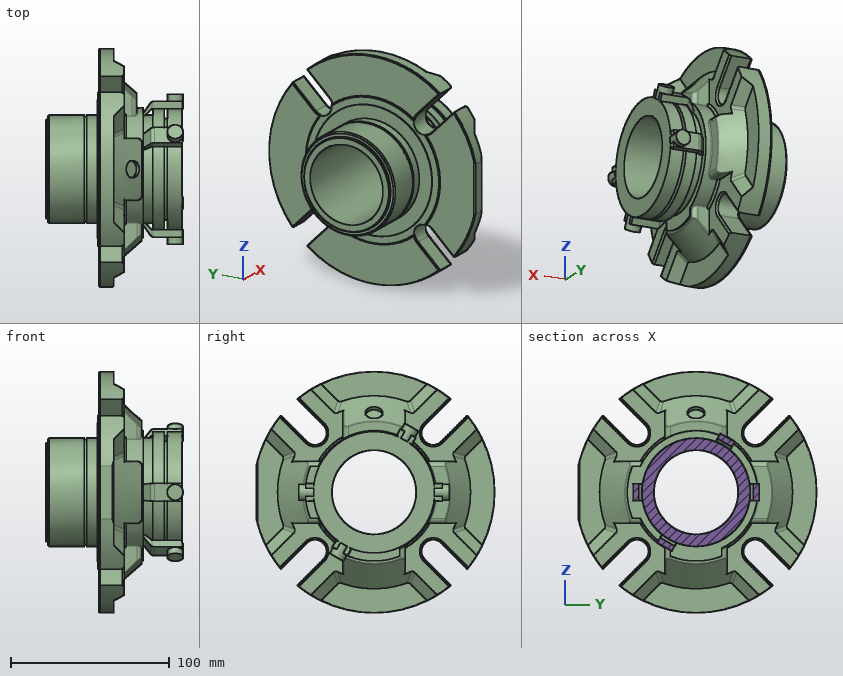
import cadquery as cq
import math


bore_dia = 53.0
nose_dia = 62.7
sleeve_dia = 68.5
groove_dia = 66.8
neck_dia = 64.2
ring_dia = 76.5

sleeve_start = 1.4
nose_chamfer = 0.6
sleeve_chamfer = 0.9
groove_start = 24.2
groove_width = 1.5
drive_ring_start = 67.4
drive_ring_end = 74.7
lock_ring_start = 76.7
sleeve_end = 86.0

flange_dia = 152.2
flange_front = 33.3
flange_back = 42.9
rim_chamfer_length = 1.0
rim_chamfer_depth = 0.5
flat_y = -74.2
flat_chamfer_depth = 0.9

raised_face_dia = 98.0
raised_face_inner_dia = 96.5
raised_face_front = 32.9
gasket_dia = 86.7
gasket_front = 32.4

hub_dia = 77.6
hub_end = 61.3
hub_root_fillet = 1.4
cone_base_radius = 60.9
cone_slope = 0.9

slot_angles = (45, 135, 225, 315)
slot_width = 14.6
slot_center_radius = 52.6
slot_chamfer = 1.2
pad_back = 49.3
pad_base_half_width = 24.6
pad_top_half_width = 17.6
pad_root_fillet = 3.0

lug_half_width = 19.6
lug_corner_radius = 3.3
lug_edge_fillet = 0.8
lug_root_fillet = 0.6
lug_ends = {0: 57.4, 90: 60.5, 180: 60.5, 270: 60.5}
stepped_lugs = (180, 270)
step_dia = 86.7
step_half_width = 16.3

port_dia = 11.0
port_depth = 2.6
port_x = 54.8

clip_angles = (0, 60, 180, 240)
clip_width = 11.3
clip_toe_width = 10.2
clip_bend_radius = 3.0
clip_outer_radius = 42.9
clip_inner_radius = 38.0
clip_bend_x = 66.8
clip_toe_outer_radius = 35.3
clip_toe_inner_radius = 32.7
screw_head_dia = 10.0
screw_head_top_radius = 47.3
screw_x = 81.5


def turned(points):
    """Solid of revolution about X from (x, radius) points."""
    return cq.Workplane("XY").polyline(points).close().revolve(360, (0, 0, 0), (1, 0, 0))


def cylinder(start, end, diameter):
    """Cylinder along X between two positions."""
    return cq.Workplane("YZ", origin=(start, 0, 0)).circle(diameter / 2).extrude(end - start)


def about_axis(body, angle):
    """Turn a body built on +Y around X, from +Y towards +Z."""
    return body.rotate((0, 0, 0), (1, 0, 0), angle)


def cone_radius(x):
    return cone_base_radius - cone_slope * (x - flange_back)


def make_sleeve():
    nose = cylinder(0, sleeve_start, nose_dia).faces("<X").chamfer(nose_chamfer)
    barrel = cylinder(sleeve_start, drive_ring_start, sleeve_dia).faces("<X").chamfer(sleeve_chamfer)
    groove = cylinder(groove_start, groove_start + groove_width, ring_dia).cut(
        cylinder(groove_start, groove_start + groove_width, groove_dia)
    )
    neck = cylinder(drive_ring_start, sleeve_end, neck_dia)
    drive_ring = cylinder(drive_ring_start, drive_ring_end, ring_dia)
    lock_ring = cylinder(lock_ring_start, sleeve_end, ring_dia)
    return nose.union(barrel).cut(groove).union(neck).union(drive_ring).union(lock_ring)


def make_pad(angle):
    """Thick pad with sloping sides, running radially out to the flange rim."""
    outline = [
        (flange_front + rim_chamfer_length, -pad_base_half_width),
        (flange_back, -pad_base_half_width),
        (pad_back, -pad_top_half_width),
        (pad_back, pad_top_half_width),
        (flange_back, pad_base_half_width),
        (flange_front + rim_chamfer_length, pad_base_half_width),
    ]
    bar = cq.Workplane("XZ").polyline(outline).close().extrude(-flange_dia / 2)
    return about_axis(bar, angle)


def make_lug(angle, end):
    """Parallel-sided slice of the hub cone with rounded end corners."""
    cone = turned([
        (flange_back, 0),
        (flange_back, cone_base_radius),
        (end, cone_radius(end)),
        (end, 0),
    ])
    slab = (
        cq.Workplane("XY")
        .box(end - flange_back, flange_dia / 2, 2 * lug_half_width, centered=(False, False, True))
        .translate((flange_back, 0, 0))
        .edges(">X and |Y")
        .fillet(lug_corner_radius)
    )
    lug = cone.intersect(slab)
    lug = lug.faces("%CONE").edges("not <X").fillet(lug_edge_fillet)
    return about_axis(lug, angle)


def make_lug_step(angle):
    """Shallow raised step on the end face of a lug."""
    start = lug_ends[angle]
    slab = cq.Workplane("XY").box(
        hub_end - start, step_dia, 2 * step_half_width, centered=(False, False, True)
    )
    step = slab.translate((start, 0, 0)).intersect(cylinder(start, hub_end, step_dia))
    return about_axis(step, angle)


def slot_outline(workplane, width):
    """Open-ended bolt slot pointing along +Y, with a round inner end."""
    length = flange_dia / 2
    return workplane.center(slot_center_radius + length / 2, 0).slot2D(length + width, width)


def make_slot(angle):
    length = pad_back - gasket_front
    body = slot_outline(cq.Workplane("YZ", origin=(gasket_front, 0, 0)), slot_width).extrude(length)
    mouth = slot_outline(
        cq.Workplane("YZ", origin=(pad_back, 0, 0)), slot_width + 2 * slot_chamfer
    ).extrude(-2 * slot_chamfer, taper=45)
    return about_axis(body.union(mouth), angle)


def make_front_mouth(angle):
    """Widened slot mouth that carries the rim chamfer along the front slot edges."""
    taper = math.degrees(math.atan2(rim_chamfer_depth, rim_chamfer_length))
    mouth = slot_outline(
        cq.Workplane("YZ", origin=(flange_front, 0, 0)), slot_width + 2 * rim_chamfer_depth
    ).extrude(2 * rim_chamfer_length, taper=taper)
    return about_axis(mouth, angle)


def make_flange():
    radius = flange_dia / 2
    disc = turned([
        (flange_front, 0),
        (flange_front, radius - rim_chamfer_depth),
        (flange_front + rim_chamfer_length, radius),
        (flange_back, radius),
        (flange_back, 0),
    ])
    raised_face = turned([
        (raised_face_front, 0),
        (raised_face_front, raised_face_inner_dia / 2),
        (flange_front, raised_face_dia / 2),
        (flange_back, raised_face_dia / 2),
        (flange_back, 0),
    ])
    gasket = cylinder(gasket_front, flange_front, gasket_dia)
    rim = cylinder(flange_front, pad_back, flange_dia)
    pads = make_pad(slot_angles[0])
    for angle in slot_angles[1:]:
        pads = pads.union(make_pad(angle))
    plate = disc.union(pads.intersect(rim))
    for angle in slot_angles:
        plate = plate.cut(make_front_mouth(angle))
    return plate.union(raised_face).union(gasket)


def make_hub():
    cone_foot = turned([
        (flange_back, 0),
        (flange_back, cone_base_radius),
        (pad_back, cone_radius(pad_back)),
        (pad_back, 0),
    ])
    barrel_radius = hub_dia / 2
    barrel = (
        cq.Workplane("XY")
        .moveTo(pad_back, 0)
        .lineTo(pad_back, barrel_radius + hub_root_fillet)
        .radiusArc((pad_back + hub_root_fillet, barrel_radius), hub_root_fillet)
        .lineTo(hub_end, barrel_radius)
        .lineTo(hub_end, 0)
        .close()
        .revolve(360, (0, 0, 0), (1, 0, 0))
    )
    return cone_foot.union(barrel)


def make_flat():
    """Block that trims the -Y rim flat, with the front edge of the flat chamfered."""
    beyond = flange_dia
    outline = [
        (flange_front, flat_y + flat_chamfer_depth),
        (flange_front + rim_chamfer_length, flat_y),
        (flange_back - rim_chamfer_length, flat_y),
        (flange_back, flat_y + flat_chamfer_depth),
        (flange_back, -beyond),
        (flange_front, -beyond),
    ]
    half_length = flange_dia / 4
    return cq.Workplane("XY").polyline(outline).close().extrude(half_length, both=True)


def make_port():
    """Blind port drilled square to the conical face of the +Z lug."""
    tilt = math.atan(cone_slope)
    axis = cq.Vector(math.sin(tilt), 0, math.cos(tilt))
    mouth = cq.Vector(port_x, 0, cone_radius(port_x))
    floor = mouth - axis * port_depth
    return cq.Workplane(obj=cq.Solid.makeCylinder(port_dia / 2, 2 * port_depth, floor, axis))


def make_clip(angle):
    """Bent strap over both rings, held by a round screw head."""
    outline = [
        (hub_end, clip_toe_inner_radius),
        (hub_end, clip_toe_outer_radius),
        (clip_bend_x, clip_outer_radius),
        (sleeve_end, clip_outer_radius),
        (sleeve_end, clip_inner_radius),
        (clip_bend_x, clip_inner_radius),
    ]
    strap = cq.Workplane("XY").polyline(outline).close().extrude(clip_width / 2, both=True)
    bend = cq.selectors.NearestToPointSelector((clip_bend_x, clip_outer_radius, 0))
    strap = strap.edges(bend).fillet(clip_bend_radius)
    plan = [
        (hub_end, -clip_toe_width / 2),
        (clip_bend_x, -clip_width / 2),
        (sleeve_end, -clip_width / 2),
        (sleeve_end, clip_width / 2),
        (clip_bend_x, clip_width / 2),
        (hub_end, clip_toe_width / 2),
    ]
    strap = strap.intersect(cq.Workplane("XZ").polyline(plan).close().extrude(-clip_outer_radius))
    head = (
        cq.Workplane("XZ", origin=(screw_x, clip_inner_radius, 0))
        .circle(screw_head_dia / 2)
        .extrude(clip_inner_radius - screw_head_top_radius)
    )
    return about_axis(strap.union(head), angle)


def edges_within(body, start, end, inner_radius, outer_radius):
    """Edges whose midpoints lie in a tubular region around the X axis."""
    found = []
    for edge in body.edges().vals():
        middle = edge.positionAt(0.5)
        distance = math.hypot(middle.y, middle.z)
        if start < middle.x < end and inner_radius < distance < outer_radius:
            found.append(edge)
    return body.newObject(found)


gland = make_flange().union(make_hub())
pad_roots = edges_within(gland, flange_back, pad_back, cone_radius(pad_back), cone_base_radius)
gland = pad_roots.fillet(pad_root_fillet)
for lug_angle, lug_end in lug_ends.items():
    gland = gland.union(make_lug(lug_angle, lug_end))
lug_root_tolerance = 0.02
lug_roots = edges_within(
    gland,
    pad_back + hub_root_fillet,
    hub_end - lug_root_fillet,
    hub_dia / 2 - lug_root_tolerance,
    hub_dia / 2 + lug_root_tolerance,
)
gland = lug_roots.fillet(lug_root_fillet)
for lug_angle in stepped_lugs:
    gland = gland.union(make_lug_step(lug_angle))
for slot_angle in slot_angles:
    gland = gland.cut(make_slot(slot_angle))
gland = gland.cut(make_flat()).cut(make_port())

result = gland.union(make_sleeve())
for clip_angle in clip_angles:
    result = result.union(make_clip(clip_angle))
result = result.cut(cylinder(0, sleeve_end, bore_dia))